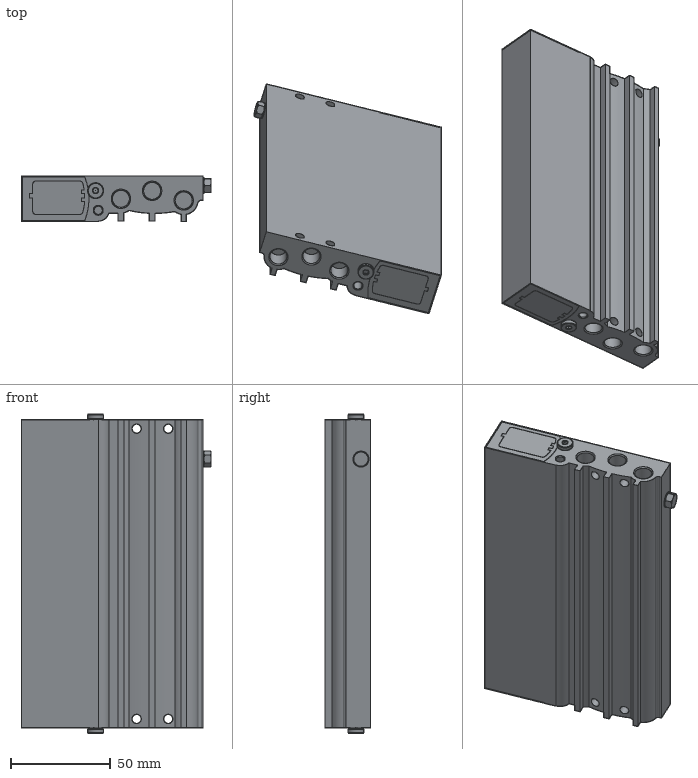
import cadquery as cq
import math

WIDTH = 91.5
DEPTH = 23.0
LENGTH = 155.0

CORNER_X = 38.7
CORNER_AXIS_Y = 5.7
CORNER_RADIUS = 5.5
LEDGE_Y = 4.2
LOBE_RADIUS = 7.2
BELLY_HALF_WIDTH = 11.4
BELLY_END_Y = 5.6
BELLY_Y = 4.1
SHELF_FILLET = 1.8
RIB_WIDTH = 3.0
RIB_TIP_Y = 0.3
LAST_RIB_WIDTH = 2.6
LAST_RIB_TIP_Y = 0.0

LEFT_PORT = (50.1, 11.5)
MIDDLE_PORT = (65.8, 15.5)
RIGHT_PORT = (81.7, 10.7)
PORT_DIAMETER = 8.57
PORT_MOUTH_DIAMETER = 9.73
PORT_DEPTH = 10.0
SMALL_PORT = (CORNER_X, CORNER_AXIS_Y)
SMALL_PORT_DIAMETER = 4.13
SMALL_PORT_MOUTH_DIAMETER = 5.0
SMALL_PORT_DEPTH = 8.0

MOUNT_DIAMETER = 4.5
MOUNT_X = (58.0, 73.9)
MOUNT_END_DISTANCE = 4.5

FIELD_MARGIN = 0.5
FIELD_CORNER_X = 31.9
FIELD_BULGE_X = 34.0
FIELD_STEP = 0.1
PANEL_LEFT = 5.75
PANEL_CORNER_X = 30.6
PANEL_BULGE_X = 31.9
PANEL_BOTTOM = 3.65
PANEL_TOP = 20.4
PANEL_STEP = 0.1
PANEL_CORNER_RADIUS = 1.5
TAB_LEFT = 4.2
TAB_BOTTOM = 12.0
TAB_TOP = 14.1
NOTCH_LEFT = 30.2
NOTCH_HEIGHT = 1.8

SCREW_AXIS = (37.35, 15.6)
SCREW_HEIGHT = 2.75
SCREW_HEAD_DIAMETER = 8.0
SCREW_HEAD_CHAMFER = 0.3
SCREW_NECK_DIAMETER = 6.0
SCREW_NECK_HEIGHT = 0.4
SOCKET_FLATS = 2.5
SOCKET_MOUTH_DIAMETER = 3.1
SOCKET_DEPTH = 1.5

PLUG_Y = 18.15
PLUG_Z = LENGTH - 19.8
PLUG_HEIGHT = 4.0
PLUG_COLLAR_DIAMETER = 8.0
PLUG_COLLAR_HEIGHT = 0.4
PLUG_FLATS = 7.1
PLUG_CHAMFER_RUN = 0.5
PLUG_CHAMFER_HEIGHT = 0.5


def hexagon_diameter(flats):
    """Diameter over the corners of a hexagon with the given width over flats."""
    return flats / math.cos(math.pi / 6)


def circle_y_below(center, radius, x):
    """Y of the lower half of a circle at position x."""
    return center[1] - math.sqrt(radius**2 - (x - center[0]) ** 2)


def circle_x(center, radius, y, side):
    """X of a circle at height y, on its left (-1) or right (+1) side."""
    return center[0] + side * math.sqrt(radius**2 - (y - center[1]) ** 2)


def circle_midpoint(center, radius, start, end):
    """Point on a circle halfway along its minor arc between two of its points."""
    dx = (start[0] + end[0]) / 2 - center[0]
    dy = (start[1] + end[1]) / 2 - center[1]
    scale = radius / math.hypot(dx, dy)
    return (center[0] + dx * scale, center[1] + dy * scale)


def housing_profile():
    """Closed outline of the housing, without the ribs."""
    corner_axis = (CORNER_X, CORNER_AXIS_Y)
    corner_start = (CORNER_X, CORNER_AXIS_Y - CORNER_RADIUS)
    corner_end = (circle_x(corner_axis, CORNER_RADIUS, LEDGE_Y, 1), LEDGE_Y)

    left_lobe_start = (LEFT_PORT[0], LEDGE_Y)
    belly_start_x = circle_x(LEFT_PORT, LOBE_RADIUS, BELLY_END_Y, 1)
    belly_start = (belly_start_x, BELLY_END_Y)
    left_lobe_bottom = (LEFT_PORT[0], LEFT_PORT[1] - LOBE_RADIUS)
    left_lobe_middle = circle_midpoint(LEFT_PORT, LOBE_RADIUS, left_lobe_bottom, belly_start)

    belly_end_x = MIDDLE_PORT[0] + BELLY_HALF_WIDTH
    belly_end = (belly_end_x, circle_y_below(RIGHT_PORT, LOBE_RADIUS, belly_end_x))
    right_lobe_end = (RIGHT_PORT[0] + LOBE_RADIUS, RIGHT_PORT[1])
    right_lobe_middle = (RIGHT_PORT[0], RIGHT_PORT[1] - LOBE_RADIUS)

    return (
        cq.Workplane("XY")
        .moveTo(0, 0)
        .lineTo(CORNER_X, 0)
        .lineTo(*corner_start)
        .threePointArc(circle_midpoint(corner_axis, CORNER_RADIUS, corner_start, corner_end), corner_end)
        .lineTo(*left_lobe_start)
        .lineTo(*left_lobe_bottom)
        .threePointArc(left_lobe_middle, belly_start)
        .threePointArc((MIDDLE_PORT[0], BELLY_Y), belly_end)
        .threePointArc(right_lobe_middle, right_lobe_end)
        .lineTo(WIDTH, RIGHT_PORT[1])
        .lineTo(WIDTH, DEPTH)
        .lineTo(0, DEPTH)
        .close()
    )


def rib(port, width, tip_y):
    """Full-length rib below a port, rooted inside the housing wall."""
    root_y = port[1] - PORT_MOUTH_DIAMETER / 2 - 1
    return (
        cq.Workplane("XY")
        .box(width, root_y - tip_y, LENGTH, centered=(True, False, False))
        .translate((port[0], tip_y, 0))
    )


def top_port(center, diameter, mouth_diameter, depth):
    """Blind hole with a 45 degree countersunk mouth, cut from the top end."""
    mouth_height = (mouth_diameter - diameter) / 2
    return (
        cq.Workplane("XZ")
        .polyline([
            (0, 0),
            (mouth_diameter / 2, 0),
            (diameter / 2, -mouth_height),
            (diameter / 2, -depth),
            (0, -depth),
        ])
        .close()
        .revolve(360, (0, 0), (0, 1))
        .translate((*center, LENGTH))
    )


def bulged_field(left, corner_x, bulge_x, bottom, top, floor_z):
    """Flat-sided field with an arched right side, from floor_z up to the top end."""
    return (
        cq.Workplane("XY", origin=(0, 0, floor_z))
        .moveTo(left, bottom)
        .lineTo(corner_x, bottom)
        .threePointArc((bulge_x, (bottom + top) / 2), (corner_x, top))
        .lineTo(left, top)
        .close()
        .extrude(LENGTH - floor_z)
    )


def panel_block(x_min, x_max, y_min, y_max, floor_z):
    """Rectangular block from floor_z up to the top end."""
    return (
        cq.Workplane("XY")
        .box(x_max - x_min, y_max - y_min, LENGTH - floor_z, centered=False)
        .translate((x_min, y_min, floor_z))
    )


def top_panel():
    """Cutter for the stepped panel in the top end."""
    field_floor = LENGTH - FIELD_STEP
    panel_floor = field_floor - PANEL_STEP
    field = bulged_field(
        FIELD_MARGIN, FIELD_CORNER_X, FIELD_BULGE_X, FIELD_MARGIN, DEPTH - FIELD_MARGIN, field_floor
    )
    panel = bulged_field(
        PANEL_LEFT, PANEL_CORNER_X, PANEL_BULGE_X, PANEL_BOTTOM, PANEL_TOP, panel_floor
    ).edges("|Z").fillet(PANEL_CORNER_RADIUS)
    panel = panel.union(panel_block(TAB_LEFT, PANEL_LEFT + 1, TAB_BOTTOM, TAB_TOP, panel_floor))
    for notch_bottom in (TAB_BOTTOM - NOTCH_HEIGHT, TAB_TOP):
        notch_top = notch_bottom + NOTCH_HEIGHT
        panel = panel.cut(panel_block(NOTCH_LEFT, FIELD_BULGE_X, notch_bottom, notch_top, panel_floor))
    return field.union(panel)


def at_both_ends(top_shape):
    """The shape at the top end and its mirror image at the bottom end."""
    return [top_shape, top_shape.mirror("XY", (0, 0, LENGTH / 2))]


def make_housing():
    shelf_corner = (RIGHT_PORT[0] + LOBE_RADIUS, RIGHT_PORT[1], LENGTH / 2)
    housing = (
        housing_profile()
        .extrude(LENGTH)
        .edges(cq.selectors.NearestToPointSelector(shelf_corner))
        .fillet(SHELF_FILLET)
    )
    housing = housing.union(rib(LEFT_PORT, RIB_WIDTH, RIB_TIP_Y))
    housing = housing.union(rib(MIDDLE_PORT, RIB_WIDTH, RIB_TIP_Y))
    housing = housing.union(rib(RIGHT_PORT, LAST_RIB_WIDTH, LAST_RIB_TIP_Y))

    end_cutters = [top_panel()]
    for center in (LEFT_PORT, MIDDLE_PORT, RIGHT_PORT):
        end_cutters.append(top_port(center, PORT_DIAMETER, PORT_MOUTH_DIAMETER, PORT_DEPTH))
    end_cutters.append(
        top_port(SMALL_PORT, SMALL_PORT_DIAMETER, SMALL_PORT_MOUTH_DIAMETER, SMALL_PORT_DEPTH)
    )
    for end_cutter in end_cutters:
        for cutter in at_both_ends(end_cutter):
            housing = housing.cut(cutter)

    for x in MOUNT_X:
        for z in (MOUNT_END_DISTANCE, LENGTH - MOUNT_END_DISTANCE):
            hole = cq.Workplane("XZ", origin=(x, 0, z)).circle(MOUNT_DIAMETER / 2).extrude(-DEPTH)
            housing = housing.cut(hole)
    return housing


def make_top_screw():
    """Socket screw standing on the top end."""
    head = (
        cq.Workplane("XY", origin=(0, 0, SCREW_NECK_HEIGHT))
        .circle(SCREW_HEAD_DIAMETER / 2)
        .extrude(SCREW_HEIGHT - SCREW_NECK_HEIGHT)
        .edges()
        .chamfer(SCREW_HEAD_CHAMFER)
    )
    neck = cq.Workplane("XY").circle(SCREW_NECK_DIAMETER / 2).extrude(SCREW_NECK_HEIGHT)
    socket = (
        cq.Workplane("XY", origin=(0, 0, SCREW_HEIGHT))
        .polygon(6, hexagon_diameter(SOCKET_FLATS))
        .extrude(-SOCKET_DEPTH)
    )
    mouth_radius = SOCKET_MOUTH_DIAMETER / 2
    mouth = cq.Workplane(
        cq.Solid.makeCone(0, mouth_radius, mouth_radius, pnt=cq.Vector(0, 0, SCREW_HEIGHT - mouth_radius))
    )
    return head.union(neck).cut(socket).cut(mouth).translate((*SCREW_AXIS, LENGTH))


def make_plug():
    """Hexagonal plug with a round collar, standing on the +X side."""
    corner_radius = hexagon_diameter(PLUG_FLATS) / 2
    chamfered_radius = corner_radius - PLUG_CHAMFER_RUN
    collar = cq.Workplane("XY").circle(PLUG_COLLAR_DIAMETER / 2).extrude(PLUG_COLLAR_HEIGHT)
    hexagon = (
        cq.Workplane("XY", origin=(0, 0, PLUG_COLLAR_HEIGHT))
        .polygon(6, 2 * corner_radius)
        .extrude(PLUG_HEIGHT - PLUG_COLLAR_HEIGHT)
    )
    corner_envelope = (
        cq.Workplane("XZ")
        .polyline([
            (0, PLUG_COLLAR_HEIGHT),
            (chamfered_radius, PLUG_COLLAR_HEIGHT),
            (corner_radius, PLUG_COLLAR_HEIGHT + PLUG_CHAMFER_HEIGHT),
            (corner_radius, PLUG_HEIGHT - PLUG_CHAMFER_HEIGHT),
            (chamfered_radius, PLUG_HEIGHT),
            (0, PLUG_HEIGHT),
        ])
        .close()
        .revolve(360, (0, 0), (0, 1))
    )
    plug = collar.union(hexagon.intersect(corner_envelope))
    return plug.rotate((0, 0, 0), (0, 1, 0), 90).translate((WIDTH, PLUG_Y, PLUG_Z))


housing = make_housing()
screws = at_both_ends(make_top_screw())
plug = make_plug()

result = cq.Compound.makeCompound([housing.val(), *[screw.val() for screw in screws], plug.val()])